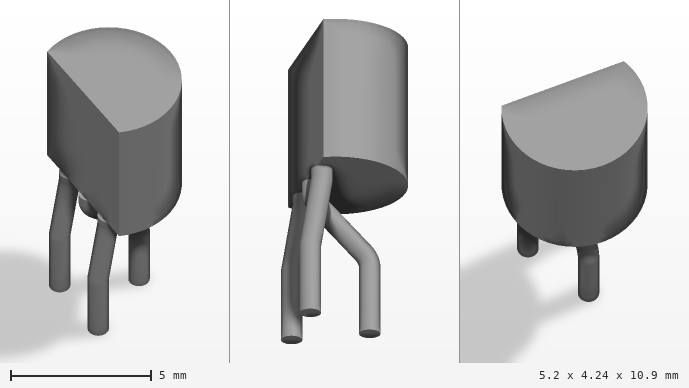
import cadquery as cq
import math


housing_radius = 2.6
housing_height = 5.33
flat_y = -1.08

overall_height = 10.92
lead_diameter = 0.76
lead_pitch = 1.27
lead_root_y = -0.83
outer_offset = -0.43
middle_offset = 2.11
bend_radius = lead_diameter
root_length = 0.33
foot_length = 2.54
lead_length = overall_height - housing_height


def make_housing():
    """Cylinder cut by one flat, as a D-shaped prism."""
    half_flat = math.sqrt(housing_radius**2 - flat_y**2)
    return (
        cq.Workplane("XY")
        .moveTo(-half_flat, flat_y)
        .threePointArc((0, housing_radius), (half_flat, flat_y))
        .close()
        .extrude(housing_height)
    )


def make_lead(x, offset):
    """Round lead with an S-bend that shifts its foot by offset along Y."""
    side = math.copysign(1, offset)
    shift = abs(offset)
    drop = lead_length - root_length - foot_length

    straight = math.sqrt(drop**2 + shift**2 - 4 * bend_radius * shift)
    angle = math.atan2(shift - 2 * bend_radius, drop) + math.atan2(2 * bend_radius, straight)

    bend_top = -root_length
    bend_bottom = bend_top - drop
    foot_y = lead_root_y + offset

    def upper_bend(turn):
        return (
            lead_root_y + side * bend_radius * (1 - math.cos(turn)),
            bend_top - bend_radius * math.sin(turn),
        )

    def lower_bend(turn):
        return (
            foot_y - side * bend_radius * (1 - math.cos(turn)),
            bend_bottom + bend_radius * math.sin(turn),
        )

    centreline = (
        cq.Workplane("YZ", origin=(x, 0, 0))
        .moveTo(lead_root_y, 0)
        .lineTo(lead_root_y, bend_top)
        .threePointArc(upper_bend(angle / 2), upper_bend(angle))
        .lineTo(*lower_bend(angle))
        .threePointArc(lower_bend(angle / 2), (foot_y, bend_bottom))
        .lineTo(foot_y, -lead_length)
    )
    return (
        cq.Workplane("XY", origin=(x, lead_root_y, 0))
        .circle(lead_diameter / 2)
        .sweep(centreline)
    )


housing = make_housing()
middle_lead = make_lead(0, middle_offset)
outer_leads = [make_lead(side * lead_pitch, outer_offset) for side in (-1, 1)]

result = cq.Compound.makeCompound(
    [housing.val(), middle_lead.val(), *[lead.val() for lead in outer_leads]]
)